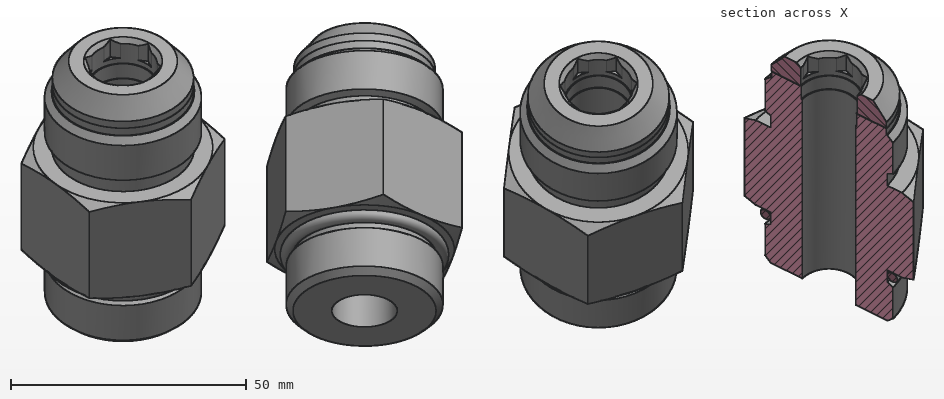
import cadquery as cq
import math

total_height = 63.7
hex_height = 25.4
stud_length = 15.05
collar_height = 1.9

hex_across_flats = 38.1
hex_corner_drop = 1.1

thread_diameter = 33.3
neck_diameter = 30.4
thread_end = 10.8
runout_length = 0.8

nose_diameter = 30.0
nose_top_diameter = 23.05
nose_cone_height = 4.45

insert_bore_diameter = 14.65
entry_bore_diameter = 14.3
main_bore_diameter = 13.9
entry_bore_depth = 3.9

socket_across_flats = 14.15
socket_depth = 4.9
socket_turn = 8.3
socket_mouth_diameter = 16.7

ring_section_diameter = 2.7

hex_bottom = stud_length
hex_top = hex_bottom + hex_height
shoulder_level = hex_top + stud_length
body_top = shoulder_level + collar_height
thread_chamfer = (thread_diameter - neck_diameter) / 2


def corner_diameter(across_flats):
    """Diameter of the circle through the corners of a hexagon."""
    return across_flats / math.cos(math.pi / 6)


def cylinder(diameter, bottom, top):
    return cq.Workplane("XY").workplane(offset=bottom).circle(diameter / 2).extrude(top - bottom)


def revolve_profile(points):
    """Turn a closed (radius, height) profile around the Z axis."""
    return cq.Workplane("XZ").polyline(points).close().revolve(360, (0, 0), (0, 1))


def make_stud(base, end):
    """Neck and thread running from the hexagon face at base to the free end."""
    direction = math.copysign(1, end - base)
    thread_radius = thread_diameter / 2
    neck_radius = neck_diameter / 2
    thread_stop = end - direction * thread_end
    return revolve_profile([
        (0, base),
        (neck_radius, base),
        (neck_radius, thread_stop - direction * runout_length),
        (thread_radius, thread_stop),
        (thread_radius, end - direction * thread_chamfer),
        (neck_radius, end),
        (0, end),
    ])


def make_hexagon():
    """Upright hexagon with flats facing +X and -X and turned corners at both ends."""
    corner_radius = corner_diameter(hex_across_flats) / 2
    flat_radius = hex_across_flats / 2
    prism = (
        cq.Workplane("XY")
        .workplane(offset=hex_bottom)
        .polygon(6, 2 * corner_radius)
        .extrude(hex_height)
        .rotate((0, 0, 0), (0, 0, 1), 30)
    )
    turned_envelope = revolve_profile([
        (0, hex_bottom),
        (flat_radius, hex_bottom),
        (corner_radius, hex_bottom + hex_corner_drop),
        (corner_radius, hex_top - hex_corner_drop),
        (flat_radius, hex_top),
        (0, hex_top),
    ])
    return prism.intersect(turned_envelope)


def make_body():
    """Hexagon with a stud at each end, a collar on top and a stepped bore."""
    body = make_hexagon()
    body = body.union(make_stud(hex_bottom, 0))
    body = body.union(make_stud(hex_top, shoulder_level))
    body = body.union(cylinder(nose_diameter, shoulder_level, body_top))
    body = body.cut(cylinder(main_bore_diameter, 0, body_top))
    return body.cut(cylinder(entry_bore_diameter, body_top - entry_bore_depth, body_top))


def make_nose_insert():
    """Conical nose with a bore and a countersunk hexagon socket."""
    nose_radius = nose_diameter / 2
    bore_radius = insert_bore_diameter / 2
    mouth_radius = socket_mouth_diameter / 2
    insert = revolve_profile([
        (bore_radius, body_top),
        (nose_radius, body_top),
        (nose_radius, total_height - nose_cone_height),
        (nose_top_diameter / 2, total_height),
        (mouth_radius, total_height),
        (bore_radius, total_height - (mouth_radius - bore_radius)),
    ])
    socket = (
        cq.Workplane("XY")
        .workplane(offset=total_height - socket_depth)
        .polygon(6, corner_diameter(socket_across_flats))
        .extrude(socket_depth)
    )
    insert = insert.cut(socket)
    return insert.rotate((0, 0, 0), (0, 0, 1), socket_turn)


def make_o_ring():
    """Round-section ring around the lower neck, touching the hexagon face."""
    section_radius = ring_section_diameter / 2
    ring_radius = neck_diameter / 2 + section_radius
    ring = cq.Solid.makeTorus(ring_radius, section_radius)
    return cq.Workplane(ring.translate(cq.Vector(0, 0, hex_bottom - section_radius)))


body = make_body()
nose_insert = make_nose_insert()
o_ring = make_o_ring()

result = cq.Compound.makeCompound([body.solids().val(), nose_insert.solids().val(), o_ring.val()])